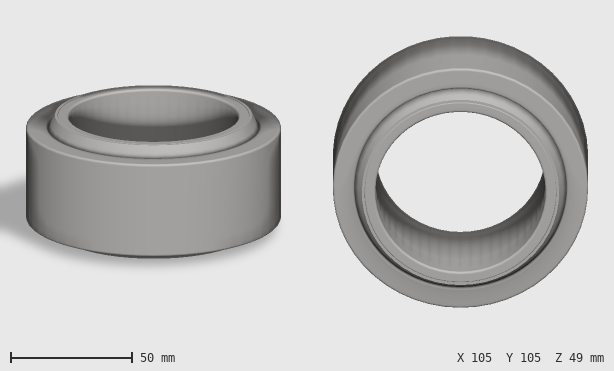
import cadquery as cq


bore_diameter = 70.0
outer_diameter = 105.0
inner_width = 48.96
outer_width = 39.8
ball_diameter = 94.8
sleeve_diameter = 79.0
edge_fillet = 1.0
sleeve_outer_fillet = 0.5

ball_radius = ball_diameter / 2


def cylinder(diameter, width):
    """Solid cylinder along Z, centred on the origin."""
    return cq.Workplane("XY").circle(diameter / 2).extrude(width / 2, both=True)


def make_outer_ring():
    """Ring with a spherical seat for the ball and rounded edges."""
    ring = cylinder(outer_diameter, outer_width).edges("%CIRCLE").fillet(edge_fillet)
    ring = ring.cut(cq.Workplane("XY").sphere(ball_radius))
    mouth_rim = cq.selectors.RadiusNthSelector(0)
    for end_face in (">Z", "<Z"):
        ring = ring.faces(end_face).edges(mouth_rim).fillet(edge_fillet)
    return ring


def make_ball():
    """Sphere cut flat at both ends, with a plain hole for the sleeve."""
    ball = cq.Workplane("XY").sphere(ball_radius)
    ball = ball.intersect(cylinder(ball_diameter, inner_width))
    return ball.cut(cylinder(sleeve_diameter, inner_width))


def make_sleeve():
    """Tube that lines the ball, flush with its ends, with rounded rims."""
    sleeve = cylinder(sleeve_diameter, inner_width).edges("%CIRCLE").fillet(sleeve_outer_fillet)
    sleeve = sleeve.cut(cylinder(bore_diameter, inner_width))
    bore_rim = cq.selectors.RadiusNthSelector(0)
    for end_face in (">Z", "<Z"):
        sleeve = sleeve.faces(end_face).edges(bore_rim).fillet(edge_fillet)
    return sleeve


outer_ring = make_outer_ring()
ball = make_ball()
sleeve = make_sleeve()

bodies = [outer_ring, ball, sleeve]
result = cq.Compound.makeCompound([body.solids().val() for body in bodies])